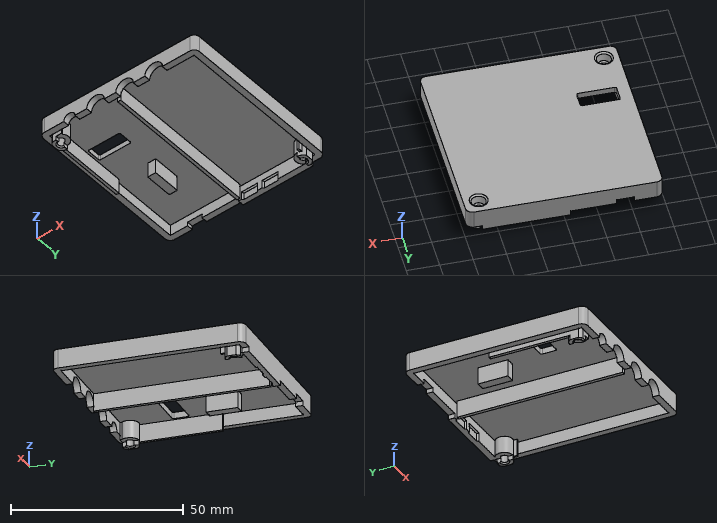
import cadquery as cq

length_x = 58.7
width_y = 59.5
rim_depth = 6.0
wall = 2.2
ceiling = 2.0
corner_radius = 2.0

lip_depth = 7.5
foot_depth = 9.0

hole_inset = 4.6
boss_radius = 2.75
hole_radius = 1.15
head_radius = 2.75
head_neck_radius = 2.2
head_base_radius = 1.6
head_chamfer_depth = 0.5
head_base_depth = 2.5
foot_chamfer = 0.4

window_x = 4.0
window_y = 17.5
window_length = 11.9
window_width = 5.25
window_radius = 0.5

small_notch_x = 11.35
small_notch_radius = 2.1
jack_notch_start = 21.2
jack_notch_pitch = 10.95
jack_notch_count = 3
jack_notch_radius = 3.3

opening_depth = 4.6
opening_half_width = 2.7
lip_start = 27.8
lip_end = length_x - hole_inset
recess_lefts = (29.05, 36.8)
recess_width = 6.0
recess_bevel = 0.5

short_rib_x = 14.05
short_rib_thickness = 3.0
short_rib_start = 32.6
short_rib_end = 42.4
long_rib_thickness = 1.15
long_rib_end_gap = 2.85

side_lip_thickness = 1.0
side_lip_start = 3.2
left_lip_end = short_rib_start
front_lip_end = 6.6

stub_x = 54.9
stub_thickness = 0.65
stub_start = 51.15
stub_end = width_y - hole_inset


def block(x_min, x_max, y_min, y_max, top, bottom):
    """Box given by its X and Y limits and the depths of its top and bottom."""
    size = (x_max - x_min, y_max - y_min, bottom - top)
    return cq.Workplane("XY").box(*size, centered=False).translate((x_min, y_min, -bottom))


def cavity_block(top, bottom):
    """Box filling the space between the side walls."""
    return block(wall, length_x - wall, wall, width_y - wall, top, bottom)


def rib(x_min, x_max, y_min, y_max):
    """Bar hanging from the ceiling down to the lip depth."""
    return block(x_min, x_max, y_min, y_max, ceiling, lip_depth)


def make_shell():
    outer = block(0, length_x, 0, width_y, 0, rim_depth).edges("|Z").fillet(corner_radius)
    return outer.cut(cavity_block(ceiling, rim_depth))


def make_boss(x, y):
    """Round boss trimmed by the walls; below the lip only its -X half continues as a foot."""
    cylinder = cq.Workplane("XY").center(x, y).circle(boss_radius).extrude(-foot_depth)
    inner_half = block(x, x + boss_radius, y - boss_radius, y + boss_radius, lip_depth, foot_depth)
    return cylinder.intersect(cavity_block(0, foot_depth)).cut(inner_half)


def make_boss_hole(x, y):
    """Stepped conical head seat, through hole and chamfered exit, as a revolved profile."""
    neck_depth = head_base_depth + head_base_radius - hole_radius
    profile = (
        cq.Workplane("XZ")
        .moveTo(0, 0)
        .lineTo(head_radius, 0)
        .lineTo(head_neck_radius, -head_chamfer_depth)
        .lineTo(head_base_radius, -head_base_depth)
        .lineTo(hole_radius, -neck_depth)
        .lineTo(hole_radius, -foot_depth + foot_chamfer)
        .lineTo(hole_radius + foot_chamfer, -foot_depth)
        .lineTo(0, -foot_depth)
        .close()
    )
    return profile.revolve(360, (0, 0, 0), (0, 1, 0)).translate((x, y, 0))


def make_window():
    window = block(window_x, window_x + window_length, window_y, window_y + window_width, 0, ceiling)
    return window.edges("|Z").fillet(window_radius)


def make_notch(x, radius):
    """Cylinder along Y centred on the rim edge of the front wall."""
    return cq.Workplane("XZ").center(x, -rim_depth).circle(radius).extrude(-wall)


def make_recess(left):
    """Shallow recess in the back wall, bevelled on its sides and top and open at the bottom."""
    height = lip_depth - opening_depth
    middle = left + recess_width / 2
    return (
        cq.Workplane("XZ", origin=(middle, width_y - wall, -lip_depth))
        .center(0, height / 2)
        .rect(recess_width, height)
        .workplane(offset=-recess_bevel)
        .center(0, -recess_bevel / 2)
        .rect(recess_width - 2 * recess_bevel, height - recess_bevel)
        .loft()
    )


hole_places = (
    (hole_inset, hole_inset),
    (length_x - hole_inset, width_y - hole_inset),
)

result = make_shell()

for bar in (
    rib(lip_start, lip_end, width_y - wall, width_y),
    rib(short_rib_x, short_rib_x + short_rib_thickness, short_rib_start, short_rib_end),
    rib(lip_start, lip_start + long_rib_thickness, wall, width_y - long_rib_end_gap),
    rib(wall, wall + side_lip_thickness, side_lip_start, left_lip_end),
    rib(side_lip_start, front_lip_end, wall, wall + side_lip_thickness),
    rib(stub_x, stub_x + stub_thickness, stub_start, stub_end),
):
    result = result.union(bar)

front_boss = make_boss(hole_inset, hole_inset)
result = result.union(front_boss)

center = (length_x / 2, width_y / 2, 0)
axis_end = (length_x / 2, width_y / 2, 1)
result = result.union(front_boss.rotate(center, axis_end, 180))

result = result.cut(make_window())
for place in hole_places:
    result = result.cut(make_boss_hole(*place))

result = result.cut(make_notch(small_notch_x, small_notch_radius))
for index in range(jack_notch_count):
    result = result.cut(make_notch(jack_notch_start + index * jack_notch_pitch, jack_notch_radius))

result = result.cut(
    block(
        small_notch_x - opening_half_width,
        small_notch_x + opening_half_width,
        width_y - wall,
        width_y,
        opening_depth,
        rim_depth,
    )
)
for left in recess_lefts:
    result = result.cut(make_recess(left))